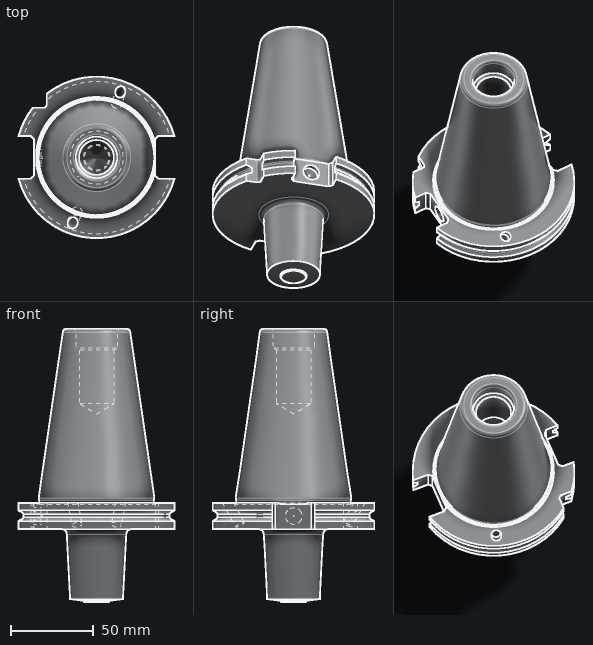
import cadquery as cq
import math

TAPER_LENGTH = 101.75
FLANGE_TOP = -3.2
FLANGE_BOTTOM = -19.1
FLANGE_THICKNESS = FLANGE_TOP - FLANGE_BOTTOM
SHANK_EDGE_Z = -61.2
PART_BOTTOM = -63.0

GAUGE_RADIUS = 69.85 / 2
TAPER_RATIO = 7 / 24 / 2
TAPER_END_RADIUS = GAUGE_RADIUS - TAPER_RATIO * TAPER_LENGTH
TAPER_END_FILLET = 2.4
GAUGE_BAND_HEIGHT = 0.6
NECK_RADIUS = 34.6
NECK_TOP = -1.7

RELIEF_DEPTH = 0.8
RELIEF_FLOOR_RADIUS = 35.7
RELIEF_RIM_RADIUS = 36.5

FLANGE_RADIUS = 97.5 / 2
GROOVE_Z = -11.0
GROOVE_DEPTH = 2.8
GROOVE_MOUTH_WIDTH = 6.4
GROOVE_FLANK_ANGLE = 30
GROOVE_CORNER = 1.1

SLOT_WIDTH = 25.7
SLOT_FLOOR_LEFT = 37.7
SLOT_FLOOR_RIGHT = 35.3
SLOT_CORNER = 2.0
NOTCH_EDGE = 30.0
NOTCH_CORNER = 2.0

CHIP_HOLE_DIAMETER = 10.0
CHIP_HOLE_DEPTH = 4.0
PILOT_DIAMETER = 0.8
PILOT_DEPTH = 1.0

COOLANT_DIAMETER = 6.0
COOLANT_PITCH_RADIUS = 42.0
COOLANT_AZIMUTH = 70
COOLANT_TILT = 30
COOLANT_DEPTH = 15.0

COUNTERBORE_RADIUS = 12.5
MOUTH_ROUNDING = 1.5
COUNTERBORE_DEPTH = 11.5
BORE_RADIUS = 10.5
BORE_STEP_ANGLE = 30
BORE_DEPTH = 45.0
DRILL_POINT_ANGLE = 118

SHANK_ROOT_RADIUS = 18.0
SHANK_END_RADIUS = 16.0
SHANK_FILLET = 3.0
TIP_OUTER_RADIUS = 8.0
TIP_INNER_RADIUS = 7.4
TIP_STEP_Z = -62.25


def make_body():
    """Revolve taper, flange and nose in one profile."""
    profile = (
        cq.Workplane("XZ")
        .moveTo(0, PART_BOTTOM)
        .lineTo(TIP_INNER_RADIUS, PART_BOTTOM)
        .lineTo(TIP_OUTER_RADIUS, TIP_STEP_Z)
        .lineTo(SHANK_END_RADIUS, SHANK_EDGE_Z)
        .lineTo(SHANK_ROOT_RADIUS, FLANGE_BOTTOM - SHANK_FILLET)
        .radiusArc((SHANK_ROOT_RADIUS + SHANK_FILLET, FLANGE_BOTTOM), SHANK_FILLET)
        .lineTo(FLANGE_RADIUS, FLANGE_BOTTOM)
        .lineTo(FLANGE_RADIUS, FLANGE_TOP)
        .lineTo(RELIEF_RIM_RADIUS, FLANGE_TOP)
        .lineTo(RELIEF_FLOOR_RADIUS, FLANGE_TOP - RELIEF_DEPTH)
        .lineTo(NECK_RADIUS, FLANGE_TOP - RELIEF_DEPTH)
        .lineTo(NECK_RADIUS, NECK_TOP)
        .lineTo(GAUGE_RADIUS, -GAUGE_BAND_HEIGHT)
        .lineTo(GAUGE_RADIUS, 0)
        .lineTo(TAPER_END_RADIUS, TAPER_LENGTH)
        .lineTo(0, TAPER_LENGTH)
        .close()
    )
    body = profile.revolve(360, (0, 0, 0), (0, 1, 0))
    return body.faces(">Z").edges().fillet(TAPER_END_FILLET)


def make_groove():
    """Gripper groove ring with sloped flanks and rounded floor corners."""
    floor_radius = FLANGE_RADIUS - GROOVE_DEPTH
    half_mouth = GROOVE_MOUTH_WIDTH / 2
    half_floor = half_mouth - GROOVE_DEPTH * math.tan(math.radians(GROOVE_FLANK_ANGLE))
    ring = (
        cq.Workplane("XZ")
        .moveTo(FLANGE_RADIUS, GROOVE_Z - half_mouth)
        .lineTo(FLANGE_RADIUS, GROOVE_Z + half_mouth)
        .lineTo(floor_radius, GROOVE_Z + half_floor)
        .lineTo(floor_radius, GROOVE_Z - half_floor)
        .close()
        .revolve(360, (0, 0, 0), (0, 1, 0))
    )
    floor_edges = cq.selectors.RadiusNthSelector(0)
    return ring.edges("%CIRCLE").edges(floor_edges).fillet(GROOVE_CORNER)


def make_bore():
    """Stepped blind bore from the taper end, finished by a drill point."""
    step_drop = (COUNTERBORE_RADIUS - BORE_RADIUS) * math.tan(math.radians(BORE_STEP_ANGLE))
    point_height = BORE_RADIUS / math.tan(math.radians(DRILL_POINT_ANGLE / 2))
    step_z = TAPER_LENGTH - COUNTERBORE_DEPTH
    floor_z = TAPER_LENGTH - BORE_DEPTH
    return (
        cq.Workplane("XZ")
        .moveTo(0, TAPER_LENGTH)
        .lineTo(COUNTERBORE_RADIUS + MOUTH_ROUNDING, TAPER_LENGTH)
        .radiusArc((COUNTERBORE_RADIUS, TAPER_LENGTH - MOUTH_ROUNDING), -MOUTH_ROUNDING)
        .lineTo(COUNTERBORE_RADIUS, step_z)
        .lineTo(BORE_RADIUS, step_z - step_drop)
        .lineTo(BORE_RADIUS, floor_z)
        .lineTo(0, floor_z - point_height)
        .close()
        .revolve(360, (0, 0, 0), (0, 1, 0))
    )


def make_slot(side, floor):
    """Drive slot open to +X (side 1) or -X (side -1)."""
    length = FLANGE_RADIUS
    slot = (
        cq.Workplane("XY", origin=(side * (floor + length / 2), 0, FLANGE_BOTTOM))
        .box(length, SLOT_WIDTH, FLANGE_THICKNESS, centered=(True, True, False))
    )
    inner = "<X" if side > 0 else ">X"
    return slot.faces(inner).edges("|Z").chamfer(SLOT_CORNER)


def make_notch():
    """Square orientation notch in the -X +Y quarter of the flange."""
    size = FLANGE_RADIUS
    notch = (
        cq.Workplane("XY", origin=(-NOTCH_EDGE, NOTCH_EDGE, FLANGE_BOTTOM))
        .rect(-size, size, centered=False)
        .extrude(FLANGE_THICKNESS)
    )
    return notch.edges("|Z and >X and <Y").fillet(NOTCH_CORNER)


def make_chip_hole():
    """Flat-bottomed hole with a small centre pilot in the floor of the left slot."""
    hole = (
        cq.Workplane("YZ", origin=(-SLOT_FLOOR_LEFT, 0, GROOVE_Z))
        .circle(CHIP_HOLE_DIAMETER / 2)
        .extrude(CHIP_HOLE_DEPTH)
    )
    pilot = (
        cq.Workplane("YZ", origin=(-SLOT_FLOOR_LEFT, 0, GROOVE_Z))
        .circle(PILOT_DIAMETER / 2)
        .extrude(CHIP_HOLE_DEPTH + PILOT_DEPTH)
    )
    return hole.union(pilot)


def make_coolant_hole(azimuth):
    """Blind hole that starts on the flange face and leans inwards."""
    tilt = math.radians(COOLANT_TILT)
    direction = cq.Vector(-math.sin(tilt), 0, -math.cos(tilt))
    entry = cq.Vector(COOLANT_PITCH_RADIUS, 0, FLANGE_TOP)
    lead_in = COOLANT_DIAMETER
    hole = cq.Solid.makeCylinder(
        COOLANT_DIAMETER / 2,
        COOLANT_DEPTH + lead_in,
        entry - direction * lead_in,
        direction,
    )
    return cq.Workplane(hole).rotate((0, 0, 0), (0, 0, 1), azimuth)


result = make_body()
result = result.cut(make_groove())
result = result.cut(make_bore())
result = result.cut(make_slot(-1, SLOT_FLOOR_LEFT))
result = result.cut(make_slot(1, SLOT_FLOOR_RIGHT))
result = result.cut(make_notch())
result = result.cut(make_chip_hole())
for azimuth in (COOLANT_AZIMUTH, COOLANT_AZIMUTH + 180):
    result = result.cut(make_coolant_hole(azimuth))
result = cq.Workplane(result.solids().val())